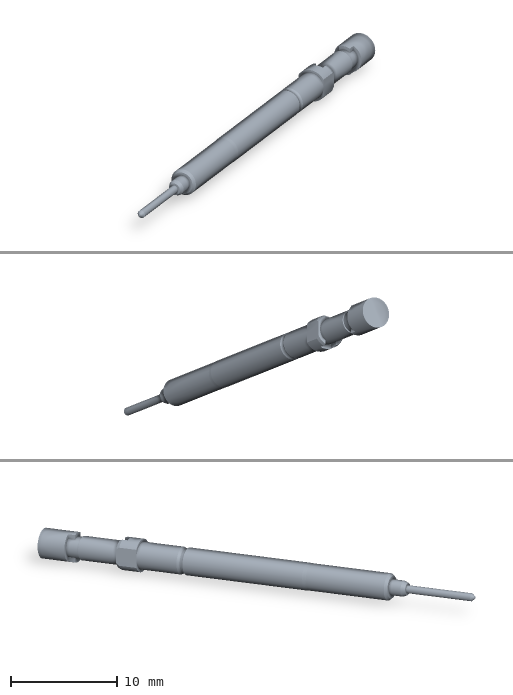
import cadquery as cq
import math

length = 44.8
head_end = 2.8
neck_end = 4.08
sleeve_end = 8.1
collar_end = 10.2
groove_start = 14.4
groove_bottom = 14.65
groove_end = 15.0
taper_start = 27.4
taper_end = 27.8
barrel_chamfer_start = 35.95
barrel_end = 36.2
nose_chamfer_start = 37.4
nose_end = 37.8
needle_end = 44.5

head_diameter = 2.9
neck_diameter = 2.1
sleeve_diameter = 2.35
collar_diameter = 3.2
barrel_diameter = 2.65
groove_diameter = 2.37
front_barrel_diameter = 2.6
barrel_face_diameter = 2.15
nose_diameter = 1.52
nose_face_diameter = 1.15
needle_diameter = 0.75
tip_diameter = 0.22

collar_chamfer_length = 0.3
collar_face_diameter = 2.95
collar_width = barrel_diameter
key_width = 1.15
key_length = 0.7
slot_length = 0.85

head_face_y = length / 2


def station(distance):
    """Y coordinate of a distance measured from the head face."""
    return head_face_y - distance


def revolve_profile(points):
    """Solid of revolution about Y from (diameter, distance) points, closed along the axis."""
    outline = [(diameter / 2, station(distance)) for diameter, distance in points]
    outline = [(0, outline[0][1])] + outline + [(0, outline[-1][1])]
    return cq.Workplane("XY").polyline(outline).close().revolve(360, (0, 0, 0), (0, 1, 0))


def block(width, start, end, height):
    """Box centred on the axis in X and Z, between two stations."""
    middle = station((start + end) / 2)
    return cq.Workplane("XY").box(width, end - start, height).translate((0, middle, 0))


def make_shaft():
    """Turned core from head to needle tip, without the collar and groove."""
    return revolve_profile([
        (head_diameter, 0),
        (head_diameter, head_end),
        (neck_diameter, head_end),
        (neck_diameter, neck_end),
        (sleeve_diameter, neck_end),
        (sleeve_diameter, collar_end),
        (barrel_diameter, collar_end),
        (barrel_diameter, taper_start),
        (front_barrel_diameter, taper_end),
        (front_barrel_diameter, barrel_chamfer_start),
        (barrel_face_diameter, barrel_end),
        (nose_diameter, barrel_end),
        (nose_diameter, nose_chamfer_start),
        (nose_face_diameter, nose_end),
        (needle_diameter, nose_end),
        (needle_diameter, needle_end),
        (tip_diameter, length),
    ])


def make_head_keys():
    """Two opposed tabs standing on the neck, flush with the head."""
    keys_end = head_end + key_length
    disc = revolve_profile([(head_diameter, head_end), (head_diameter, keys_end)])
    return disc.intersect(block(key_width, head_end, keys_end, head_diameter))


def make_collar():
    """Chamfered collar with side flats and two opposed key slots open to the sleeve."""
    collar = revolve_profile([
        (collar_face_diameter, sleeve_end),
        (collar_diameter, sleeve_end + collar_chamfer_length),
        (collar_diameter, collar_end),
    ])
    collar = collar.intersect(block(collar_width, sleeve_end, collar_end, collar_diameter))
    slots = block(key_width, sleeve_end, sleeve_end + slot_length, collar_diameter)
    return collar.cut(slots)


def make_groove():
    """Ring removed from the barrel: a conical wall, then an arc rising to the surface."""
    arc_length = groove_end - groove_bottom
    barrel_radius = barrel_diameter / 2
    groove_radius = groove_diameter / 2
    depth = barrel_radius - groove_radius
    arc_radius = (arc_length ** 2 + depth ** 2) / (2 * depth)
    half_angle = math.asin(arc_length / arc_radius) / 2
    arc_middle = (
        groove_radius + arc_radius * (1 - math.cos(half_angle)),
        station(groove_bottom + arc_radius * math.sin(half_angle)),
    )
    return (
        cq.Workplane("XY")
        .moveTo(barrel_radius, station(groove_start))
        .lineTo(groove_radius, station(groove_bottom))
        .threePointArc(arc_middle, (barrel_radius, station(groove_end)))
        .close()
        .revolve(360, (0, 0, 0), (0, 1, 0))
    )


result = make_shaft().union(make_head_keys()).union(make_collar()).cut(make_groove())